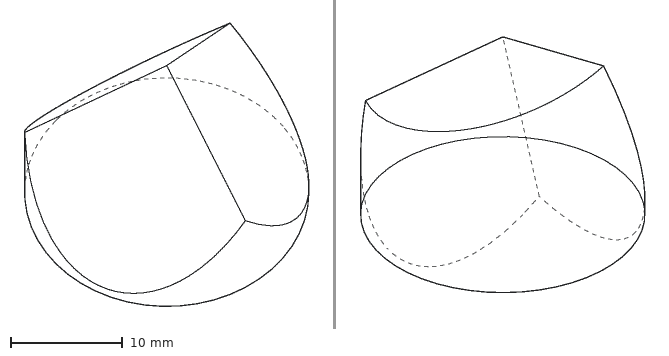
import cadquery as cq
import math

diameter = 25.4
height = 19.0
face_slope = math.sqrt(2)
face_angles = (60, 180, 300)
cutter_size = 4 * diameter


def above_face(angle_degrees):
    """Block filling the space outside one sloping face through the apex."""
    angle = math.radians(angle_degrees)
    face_plane = cq.Plane(
        origin=(0, 0, height),
        xDir=(-math.sin(angle), math.cos(angle), 0),
        normal=(face_slope * math.cos(angle), face_slope * math.sin(angle), 1),
    )
    return cq.Workplane(face_plane).rect(cutter_size, cutter_size).extrude(cutter_size)


result = cq.Workplane("XY").circle(diameter / 2).extrude(height)
for face_angle in face_angles:
    result = result.cut(above_face(face_angle))